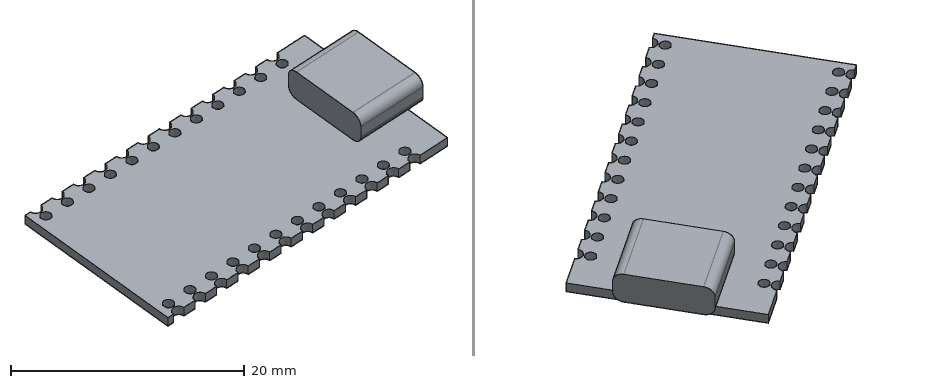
import cadquery as cq

total_length = 34.3
total_height = 4.2

board_width = 17.8
board_thickness = 1.0
connector_overhang = 1.27
board_length = total_length - connector_overhang

pads_per_side = 12
pad_pitch = 2.55
hole_diameter = 1.03
hole_inset = pad_pitch / 2
first_pad_y = pad_pitch / 2
notch_diameter = 1.2

connector_width = 9.02
connector_length = 7.35
connector_height = total_height - board_thickness
connector_corner_radius = 1.0


def pad_points(inset):
    """Points at the given distance inside both long edges, one per pad."""
    side_x = board_width / 2 - inset
    return [
        (side * side_x, first_pad_y + row * pad_pitch)
        for side in (-1, 1)
        for row in range(pads_per_side)
    ]


def through_cylinders(points, diameter):
    return cq.Workplane("XY").pushPoints(points).circle(diameter / 2).extrude(board_thickness)


def make_board():
    blank = cq.Workplane("XY").box(
        board_width, board_length, board_thickness, centered=(True, False, False)
    )
    holes = through_cylinders(pad_points(hole_inset), hole_diameter)
    notches = through_cylinders(pad_points(0), notch_diameter)
    return blank.cut(holes).cut(notches)


def make_connector():
    """Block with rounded long edges, lying on the board and overhanging its +Y end."""
    return (
        cq.Workplane("XY")
        .box(connector_width, connector_length, connector_height, centered=(True, False, False))
        .edges("|Y")
        .fillet(connector_corner_radius)
        .translate((0, total_length - connector_length, board_thickness))
    )


board = make_board()
connector = make_connector()

result = cq.Compound.makeCompound([board.val(), connector.val()])